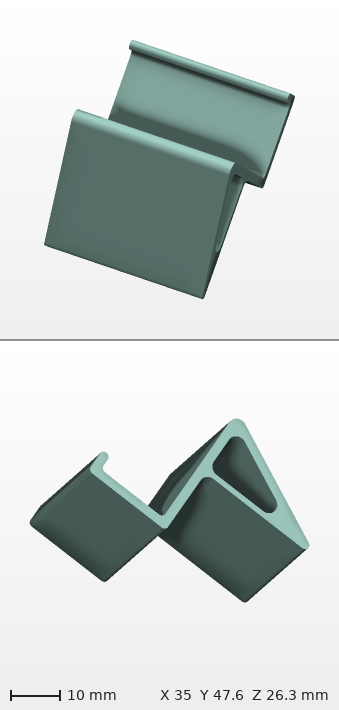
import cadquery as cq
import math

width = 35.0
tray_tilt = 33.0
apex_angle = 63.0

wall = 2.0
tray_length = 20.0
lip_height = 5.75
joint_distance = 8.0
strut_bottom = 16.05
strut_thickness = 1.2
apex_height = 31.9

small_radius = wall / 2
large_radius = wall

tilt = math.radians(tray_tilt)
profile_plane = cq.Plane(
    origin=(-width / 2, 0, 0),
    xDir=(0, math.cos(tilt), math.sin(tilt)),
    normal=(1, 0, 0),
)

apex_slope = math.tan(math.radians(apex_angle))
front_wall_run = wall / math.cos(math.radians(apex_angle))


def front_face_u(v):
    """Position of the outer front face at height v."""
    return wall - (apex_height - v) * apex_slope


def window_front_u(v):
    """Position of the inner side of the front wall at height v."""
    return front_face_u(v) + front_wall_run


def front_face_v(u):
    """Height of the outer front face at position u."""
    return apex_height - (wall - u) / apex_slope


def extrude_profile(points):
    return cq.Workplane(profile_plane).polyline(points).close().extrude(width)


def round_edge(body, point, radius):
    """Round the edge along the width that passes through a profile point."""
    u, v = point
    middle = profile_plane.toWorldCoords((u, v, width / 2))
    return body.edges("|X").edges(cq.selectors.NearestToPointSelector(middle)).fillet(radius)


def round_edges(body, points, radius):
    for point in points:
        body = round_edge(body, point, radius)
    return body


def make_window():
    """Rounded three-sided opening between the back, the strut and the front wall."""
    window_bottom = strut_bottom + strut_thickness
    window_top = front_face_v(-front_wall_run)
    corners = [
        (0, window_bottom),
        (0, window_top),
        (window_front_u(window_bottom), window_bottom),
    ]
    return round_edges(extrude_profile(corners), corners, large_radius)


def make_stand():
    """Back, strut, front wall and the inner end of the tray."""
    heel = (0, 0)
    tray_inside = (wall, wall)
    apex = (wall, apex_height)
    toe = (front_face_u(strut_bottom), strut_bottom)
    strut_root = (0, strut_bottom)
    body = extrude_profile([
        heel,
        (joint_distance, 0),
        (joint_distance, wall),
        tray_inside,
        apex,
        toe,
        strut_root,
    ])
    body = round_edges(body, [heel, tray_inside, toe], small_radius)
    body = round_edges(body, [apex, strut_root], large_radius)
    return body.cut(make_window())


def make_hook():
    """Outer end of the tray with its round-tipped lip."""
    lip_inside_u = tray_length - wall
    tip_start = lip_height - wall / 2
    outer_corner = (tray_length, 0)
    inner_corner = (lip_inside_u, wall)
    body = (
        cq.Workplane(profile_plane)
        .moveTo(joint_distance, 0)
        .lineTo(*outer_corner)
        .lineTo(tray_length, tip_start)
        .threePointArc((tray_length - wall / 2, lip_height), (lip_inside_u, tip_start))
        .lineTo(*inner_corner)
        .lineTo(joint_distance, wall)
        .close()
        .extrude(width)
    )
    return round_edges(body, [outer_corner, inner_corner], small_radius)


stand = make_stand()
hook = make_hook()

result = cq.Compound.makeCompound([stand.val(), hook.val()])